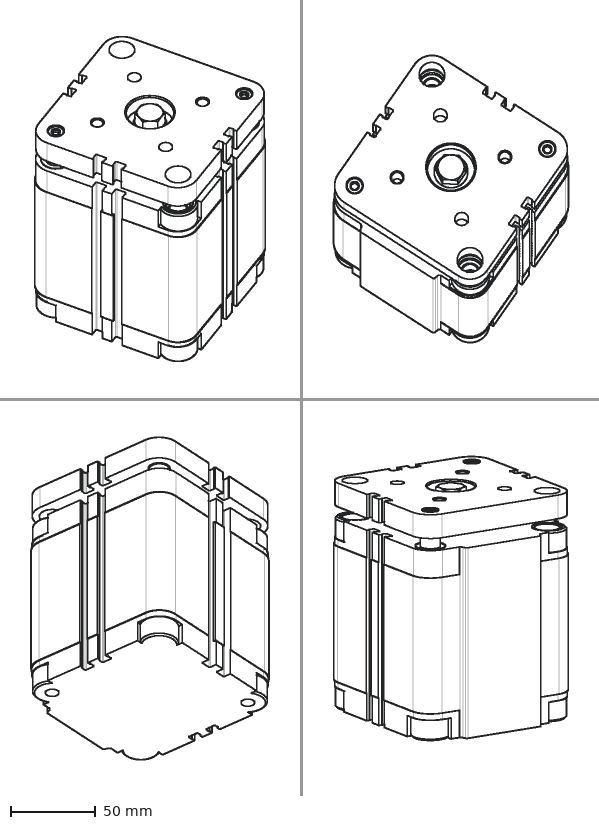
import cadquery as cq
import math

total_height = 138.0
plate_thickness = 14.5
plate_bottom = total_height - plate_thickness
housing_top = 116.2
cap_height = 16.7
upper_cap_bottom = housing_top - cap_height

tube_side = 107.0
plate_side = 106.0
cap_depth = 106.5
corner_radius = 12.4
corner_pitch = 41.0

groove_centre = 6.6
groove_width = 6.9
mouth_width = 5.8
groove_root_radius = 0.5
front_floor = 48.2
front_lip_back = 51.9
side_floor = 47.6
side_lip_back = 50.8
front_rib_width = 8.3

pad_face = 57.48
pad_half_width = 27.0
pad_edge_radius = 1.1
pad_foot = 1.4
pad_side_slope = 0.5

nut_diameter = 23.0
nut_bevel = 1.1
nut_height = 12.7
pocket_inner = 34.4
counterbore_diameter = 15.0
counterbore_depth = 4.1
nut_bore_diameter = 9.8
nut_bore_bevel = 0.5
screw_hole_diameter = 8.0

rod_diameter = 12.0
rod_collar_diameter = 13.0
rod_collar_height = 0.4
seal_diameter = 18.0
seal_depth = 0.4
screw_recess_diameter = 9.0
screw_recess_depth = 0.8
screw_recess_bevel = 0.5
socket_diameter = 4.3
socket_depth = 2.1
socket_bevel = 0.5

piston_rod_diameter = 20.0
rod_flats = 16.5
flats_bottom = housing_top + 0.5
recess_diameter = 28.0
recess_bevel = 0.8
recess_floor = 128.6
rod_end_height = 0.4
head_flats = 15.5
head_top = 137.7
head_envelope_diameter = 18.0
head_bevel_height = 0.7

access_hole_diameter = counterbore_diameter
plate_hole_pitch = 22.9
plate_hole_diameter = 8.0
tapped_hole_diameter = 6.6

rod_corners = [(-corner_pitch, -corner_pitch), (corner_pitch, corner_pitch)]
screw_corners = [(-corner_pitch, corner_pitch), (corner_pitch, -corner_pitch)]


def disc(diameter, bottom, top, points=((0, 0),)):
    """Round posts between two heights."""
    return (
        cq.Workplane("XY", origin=(0, 0, bottom))
        .pushPoints(list(points))
        .circle(diameter / 2)
        .extrude(top - bottom)
    )


def block(x_range, y_range, bottom, top):
    """Box between two X, two Y and two Z values."""
    size = (x_range[1] - x_range[0], y_range[1] - y_range[0], top - bottom)
    return cq.Workplane("XY").box(*size, centered=False).translate((x_range[0], y_range[0], bottom))


def countersink(diameter, bevel, top, points=((0, 0),)):
    """Cones that bevel the mouths of round holes."""
    return (
        cq.Workplane("XY", origin=(0, 0, top))
        .pushPoints(list(points))
        .circle(diameter / 2 + bevel)
        .extrude(-bevel, taper=45)
    )


def rounded_box(size_x, size_y, bottom, top):
    box = block((-size_x / 2, size_x / 2), (-size_y / 2, size_y / 2), bottom, top)
    return box.edges("|Z").fillet(corner_radius)


def hexagon(flats, bottom, top):
    """Hexagon with two flats square to X."""
    return (
        cq.Workplane("XY", origin=(0, 0, bottom))
        .transformed(rotate=(0, 0, 90))
        .polygon(6, flats / math.cos(math.pi / 6))
        .extrude(top - bottom)
    )


def groove_pair(mouth, floor, lip_back, bottom, top):
    """Two mirrored undercut grooves in the -Y side; mouth is the X range of the right-hand opening."""
    chamber = groove_chamber()
    right = block(chamber, (-lip_back, -floor), bottom, top)
    right = right.edges("|Z and >Y").fillet(groove_root_radius)
    right = right.union(block(mouth, (-tube_side, -lip_back), bottom, top))
    return right.union(right.mirror("YZ"))


def groove_chamber():
    """X range of the wide part of the right-hand groove."""
    return (groove_centre - groove_width / 2, groove_centre + groove_width / 2)


def groove_mouth():
    """X range of the narrow opening between two lips."""
    return (groove_centre - mouth_width / 2, groove_centre + mouth_width / 2)


def cut_side_grooves(body, bottom, top):
    """Cut the groove pairs of the -X and +X sides."""
    pair = groove_pair(groove_mouth(), side_floor, side_lip_back, bottom, top)
    for angle in (-90, 90):
        body = body.cut(pair.rotate((0, 0, 0), (0, 0, 1), angle))
    return body


def corner_pocket(sign_x, sign_y, bottom, top):
    """Square pocket at a corner, leaving the round nut standing."""
    x_range = sorted((sign_x * pocket_inner, sign_x * tube_side))
    y_range = sorted((sign_y * pocket_inner, sign_y * tube_side))
    return block(x_range, y_range, bottom, top)


def nut(x, y, bottom, top, bevelled_end):
    return disc(nut_diameter, bottom, top, [(x, y)]).faces(bevelled_end).chamfer(nut_bevel)


def back_pad():
    """Full-height pad on +Y with rounded edges and flared feet."""
    wall = tube_side / 2
    edge_y = pad_face - pad_edge_radius
    edge_x = pad_half_width - pad_side_slope
    arc_mid = pad_edge_radius * math.sqrt(0.5)
    foot_mid = pad_foot * (1 - math.sqrt(0.5))
    half = (
        cq.Workplane("XY")
        .moveTo(0, corner_pitch)
        .lineTo(pad_half_width + pad_foot, corner_pitch)
        .lineTo(pad_half_width + pad_foot, wall)
        .threePointArc((pad_half_width + foot_mid, wall + foot_mid), (pad_half_width, wall + pad_foot))
        .lineTo(edge_x, edge_y)
        .threePointArc(
            (edge_x - pad_edge_radius + arc_mid, edge_y + arc_mid), (edge_x - pad_edge_radius, pad_face)
        )
        .lineTo(0, pad_face)
        .close()
        .extrude(housing_top)
    )
    return half.union(half.mirror("YZ"))


def make_housing():
    tube = rounded_box(tube_side, tube_side, cap_height, upper_cap_bottom)
    lower_cap = rounded_box(plate_side, cap_depth, 0, cap_height)
    upper_cap = rounded_box(plate_side, cap_depth, upper_cap_bottom, housing_top)
    body = lower_cap.union(tube).union(upper_cap).union(back_pad())
    body = cut_side_grooves(body, 0, housing_top)

    cap_mouth = groove_chamber()
    tube_mouth = (front_rib_width / 2, cap_mouth[1])
    for mouth, bottom, top in (
        (cap_mouth, 0, cap_height),
        (tube_mouth, cap_height, upper_cap_bottom),
        (cap_mouth, upper_cap_bottom, housing_top),
    ):
        body = body.cut(groove_pair(mouth, front_floor, front_lip_back, bottom, top))

    for x, y in rod_corners + screw_corners:
        pocket = corner_pocket(math.copysign(1, x), math.copysign(1, y), 0, nut_height)
        body = body.cut(pocket).union(nut(x, y, 0, nut_height, "<Z"))
    for x, y in screw_corners:
        nut_bottom = housing_top - nut_height
        pocket = corner_pocket(math.copysign(1, x), math.copysign(1, y), nut_bottom, housing_top)
        body = body.cut(pocket).union(nut(x, y, nut_bottom, housing_top, ">Z"))
    body = body.cut(disc(screw_hole_diameter, 0, housing_top, screw_corners))
    counterbore_floor = housing_top - counterbore_depth
    body = body.cut(disc(counterbore_diameter, counterbore_floor, housing_top, screw_corners))
    body = body.cut(disc(nut_bore_diameter, upper_cap_bottom, counterbore_floor, screw_corners))
    body = body.cut(countersink(nut_bore_diameter, nut_bore_bevel, counterbore_floor, screw_corners))

    body = body.cut(disc(rod_diameter, upper_cap_bottom, housing_top, rod_corners))
    seal_corners = rod_corners + screw_corners
    body = body.cut(disc(seal_diameter, housing_top - seal_depth, housing_top, seal_corners))
    return body.cut(disc(piston_rod_diameter, upper_cap_bottom, housing_top))


def make_plate():
    body = rounded_box(plate_side, plate_side, plate_bottom, total_height)
    body = cut_side_grooves(body, plate_bottom, total_height)
    body = body.cut(groove_pair(groove_mouth(), front_floor, front_lip_back, plate_bottom, total_height))
    body = body.cut(disc(access_hole_diameter, plate_bottom, total_height, screw_corners))
    p = plate_hole_pitch
    plain_points = [(-p, p), (p, -p)]
    tapped_points = [(p, p), (-p, -p)]
    tapped_bevel = (plate_hole_diameter - tapped_hole_diameter) / 2
    body = body.cut(disc(plate_hole_diameter, plate_bottom, total_height, plain_points))
    body = body.cut(disc(tapped_hole_diameter, plate_bottom, total_height, tapped_points))
    body = body.cut(countersink(tapped_hole_diameter, tapped_bevel, total_height, tapped_points))
    body = body.cut(disc(recess_diameter, recess_floor, total_height))
    return body.cut(countersink(recess_diameter, recess_bevel, total_height))


def make_piston_rod():
    """Rod with two wrench flats and a bevelled hexagon head."""
    rod = disc(piston_rod_diameter, upper_cap_bottom, recess_floor + rod_end_height)
    r = piston_rod_diameter
    for side in (-1, 1):
        y_range = sorted((side * rod_flats / 2, side * r))
        rod = rod.cut(block((-r, r), y_range, flats_bottom, plate_bottom))
    envelope = disc(head_envelope_diameter, recess_floor, head_top)
    head_bevel_width = (head_envelope_diameter - head_flats) / 2
    envelope = envelope.faces(">Z").chamfer(head_bevel_height, head_bevel_width)
    return rod.union(hexagon(head_flats, recess_floor, head_top).intersect(envelope))


def make_moving_assembly():
    body = make_plate().union(make_piston_rod())
    body = body.union(disc(rod_diameter, upper_cap_bottom, plate_bottom, rod_corners))
    body = body.union(disc(rod_collar_diameter, plate_bottom - rod_collar_height, plate_bottom, rod_corners))

    head = total_height - screw_recess_depth
    body = body.cut(disc(screw_recess_diameter, head, total_height, rod_corners))
    body = body.cut(countersink(screw_recess_diameter, screw_recess_bevel, total_height, rod_corners))
    body = body.cut(disc(socket_diameter, head - socket_depth, head, rod_corners))
    return body.cut(countersink(socket_diameter, socket_bevel, head, rod_corners))


housing = make_housing()
moving_assembly = make_moving_assembly()

result = cq.Compound.makeCompound([housing.val(), moving_assembly.val()])